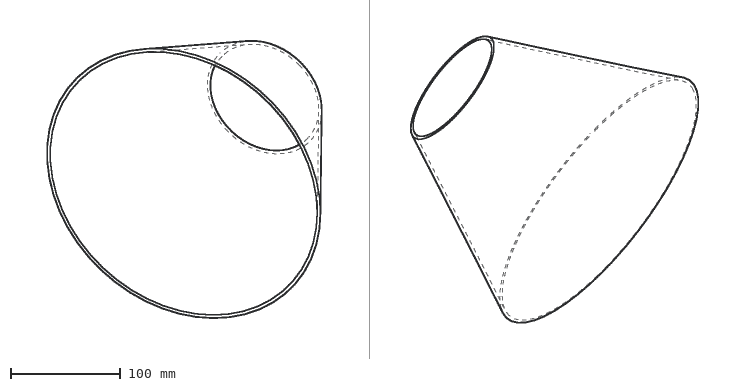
import cadquery as cq
import math

wide_diameter = 273.0
narrow_diameter = 114.5
length = 178.0
wall_thickness = 3.0

wide_radius = wide_diameter / 2
narrow_radius = narrow_diameter / 2

half_angle = math.atan2(wide_radius - narrow_radius, length)
radial_wall = wall_thickness / math.cos(half_angle)

wall_section = (
    cq.Workplane("XY")
    .moveTo(wide_radius - radial_wall, 0)
    .lineTo(wide_radius, 0)
    .lineTo(narrow_radius, length)
    .lineTo(narrow_radius - radial_wall, length)
    .close()
)
result = wall_section.revolve(360, (0, 0, 0), (0, 1, 0))